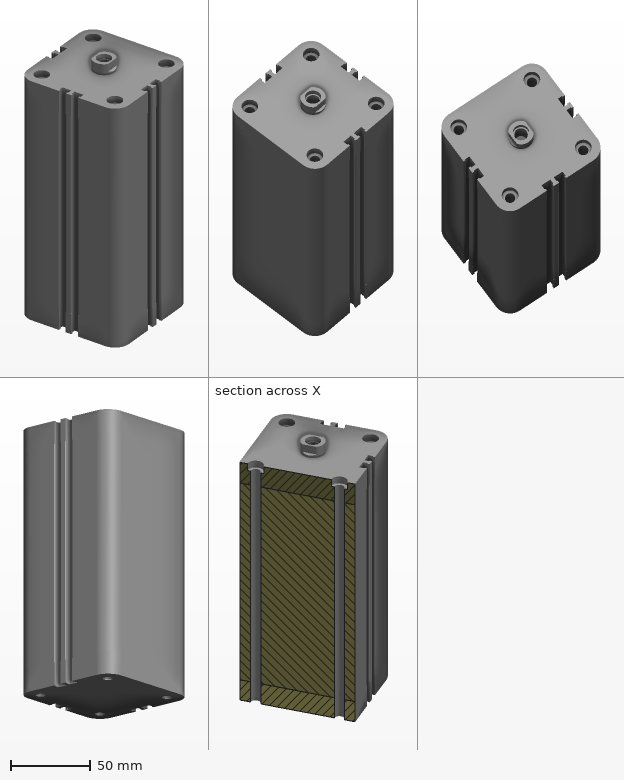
import cadquery as cq
import math

total_height = 182.0
body_side = 78.0
corner_radius = 10.7
rod_projection = 8.0
body_height = total_height - rod_projection
cap_height = 15.1
barrel_height = body_height - 2 * cap_height
half_side = body_side / 2

bolt_spacing = 56.5
bolt_diameter = 6.5
counterbore_diameter = 10.5
counterbore_depth = 5.0

slot_offset = 4.7
slot_opening = 5.3
slot_undercut_width = 6.7
slot_depth = 5.0
slot_lip = 1.6
barrel_slot_chamfer = 0.45
slotted_sides = (-90, 0, 90)

rod_diameter = 16.0
rod_neck_diameter = 15.8
rod_neck_projection = 0.5
rod_taper_height = 0.5
rod_across_flats = 13.0
flat_length = 5.5
flat_runout_angle = 30.0
bore_diameter = 8.5
bore_depth = 16.4
rod_counterbore_diameter = 10.4
rod_counterbore_depth = 3.5

barrel_bottom = cap_height
head_cap_bottom = barrel_bottom + barrel_height


def slot_cutter(mouth_chamfer, bottom, height):
    """One slot of the -Y side, centred on X = 0, as a prism."""
    mouth = slot_opening / 2
    undercut = slot_undercut_width / 2
    face = -half_side
    right_edge = [
        (mouth + mouth_chamfer, face),
        (mouth, face + mouth_chamfer),
        (mouth, face + slot_lip),
        (undercut, face + slot_lip),
        (undercut, face + slot_depth),
    ]
    if mouth_chamfer == 0:
        right_edge.pop(0)
    left_edge = [(-x, y) for x, y in reversed(right_edge)]
    return (
        cq.Workplane("XY").workplane(offset=bottom)
        .polyline(right_edge + left_edge).close().extrude(height)
    )


def body_section(bottom, height, mouth_chamfer=0):
    """Rounded square block with its bolt holes and side slots."""
    block = (
        cq.Workplane("XY").workplane(offset=bottom)
        .rect(body_side, body_side).extrude(height)
        .edges("|Z").fillet(corner_radius)
        .faces(">Z").workplane(origin=(0, 0, bottom + height))
        .rect(bolt_spacing, bolt_spacing, forConstruction=True).vertices()
        .hole(bolt_diameter)
    )
    cutter = slot_cutter(mouth_chamfer, bottom, height)
    for turn in slotted_sides:
        for side in (-1, 1):
            slot = cutter.translate((side * slot_offset, 0, 0))
            block = block.cut(slot.rotate((0, 0, 0), (0, 0, 1), turn))
    return block


def make_head_cap():
    """Upper cap: counterbored bolt holes and a bore for the rod."""
    return (
        body_section(head_cap_bottom, cap_height)
        .faces(">Z").workplane(origin=(0, 0, body_height))
        .rect(bolt_spacing, bolt_spacing, forConstruction=True).vertices()
        .hole(counterbore_diameter, counterbore_depth)
        .faces(">Z").workplane(origin=(0, 0, body_height))
        .hole(rod_neck_diameter)
    )


def flat_cutter():
    """Removes the +X flat of the rod end, with its sloping run-out."""
    flat = rod_across_flats / 2
    outside = rod_diameter
    flat_bottom = total_height - flat_length
    drop = (outside - flat) * math.tan(math.radians(flat_runout_angle))
    return (
        cq.Workplane("XZ")
        .moveTo(flat, total_height)
        .lineTo(outside, total_height)
        .lineTo(outside, flat_bottom - drop)
        .lineTo(flat, flat_bottom)
        .close()
        .extrude(rod_diameter / 2, both=True)
    )


def make_rod():
    """Rod through the head cap, with two flats and a counterbored hole."""
    neck_radius = rod_neck_diameter / 2
    rod_radius = rod_diameter / 2
    neck_top = body_height + rod_neck_projection
    half_profile = [
        (0, head_cap_bottom),
        (neck_radius, head_cap_bottom),
        (neck_radius, neck_top),
        (rod_radius, neck_top + rod_taper_height),
        (rod_radius, total_height),
        (0, total_height),
    ]
    rod = (
        cq.Workplane("XZ")
        .polyline(half_profile).close()
        .revolve(360, (0, 0, 0), (0, 1, 0))
        .faces(">Z").workplane(origin=(0, 0, total_height))
        .cboreHole(bore_diameter, rod_counterbore_diameter, rod_counterbore_depth, bore_depth)
    )
    flat = flat_cutter()
    return rod.cut(flat).cut(flat.mirror("YZ"))


end_cap = body_section(0, cap_height)
barrel = body_section(barrel_bottom, barrel_height, barrel_slot_chamfer)
head_cap = make_head_cap()
rod = make_rod()

result = cq.Compound.makeCompound([end_cap.val(), barrel.val(), head_cap.val(), rod.val()])